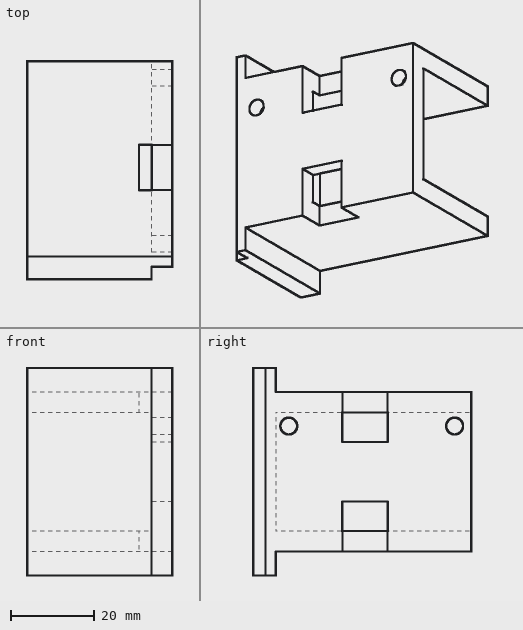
import cadquery as cq

width = 35.0
plate_height = 50.0
arm_length = 47.0

plate_thickness = 5.45
step_width = 5.0
step_depth = 3.0

wall = 5.0
body_height = 38.4
cavity_height = body_height - 2 * wall

notch_width = 10.9
notch_reach = 8.0
notch_depth = 7.0
notch_start = 16.0

hole_diameter = 4.0
hole_drop = 3.2
hole_spacing = 39.9
hole_end_margin = 4.0


def block(x_min, x_max, y_min, y_max, z_min, z_max):
    """Axis-aligned box between the given limits."""
    size = (x_max - x_min, y_max - y_min, z_max - z_min)
    return cq.Workplane("XY").box(*size, centered=False).translate((x_min, y_min, z_min))


def front_plate():
    """Plate in front of Y = 0, thinned along its +X edge."""
    half = plate_height / 2
    plate = block(0, width, -plate_thickness, 0, -half, half)
    step = block(
        width - step_width, width,
        -plate_thickness, step_depth - plate_thickness,
        -half, half,
    )
    return plate.cut(step)


def body():
    """Channel open towards -X and +Y."""
    outer = block(0, width, 0, arm_length, -body_height / 2, body_height / 2)
    cavity = block(0, width - wall, 0, arm_length, -cavity_height / 2, cavity_height / 2)
    return outer.cut(cavity)


def upper_notch():
    """Cutter for the notch in the upper arm and the wall beneath it."""
    return block(
        width - notch_reach, width,
        notch_start, notch_start + notch_width,
        cavity_height / 2 - notch_depth, body_height / 2,
    )


def wall_holes():
    """Cutters for the two round holes in the side wall."""
    far_y = arm_length - hole_end_margin
    hole_z = cavity_height / 2 - hole_drop
    return (
        cq.Workplane("YZ", origin=(width - wall, 0, 0))
        .pushPoints([(far_y, hole_z), (far_y - hole_spacing, hole_z)])
        .circle(hole_diameter / 2)
        .extrude(wall)
    )


notch = upper_notch()
result = (
    front_plate()
    .union(body())
    .cut(notch)
    .cut(notch.mirror("XY"))
    .cut(wall_holes())
)